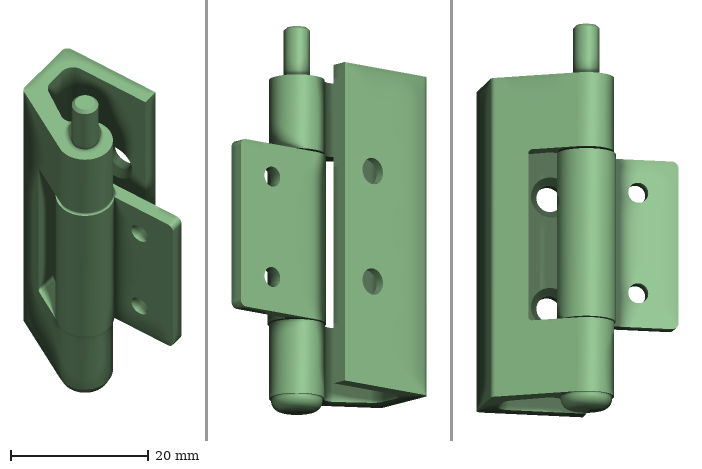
import cadquery as cq
import math


total_height = 57.2
pin_diameter = 3.9
pin_tip_chamfer = 0.45
head_diameter = 7.5
head_height = 1.9
head_round = 1.55

frame_height = 47.55
frame_left = -13.5
frame_back = 13.95
plate_thickness = 2.5
back_leg_end = 2.6
knuckle_radius = 4.05
outer_slope = math.radians(30)
inner_slope = math.radians(33.7)
inner_corner_y = 5.5
outer_bend_radius = 1.0
inner_bend_radius = 2.0
knuckle_fillet = 1.7

slot_left = -8.6
slot_height = 25.5
slot_corner_radius = 0.5

leaf_hole_diameter = 3.0
frame_hole_diameter = 3.9
countersink_diameter = 5.95
countersink_angle = 90
frame_hole_x = -2.75
frame_hole_spacing = 16.5

leaf_height = 25.0
barrel_radius = 4.3
leaf_right = 14.25
leaf_thickness = 2.1
leaf_corner_radius = 1.0
leaf_hole_x = 8.25
leaf_hole_spacing = 15.0
leaf_drop = 0.1

frame_mid_z = head_height + frame_height / 2
leaf_mid_z = frame_mid_z - leaf_drop
leaf_bottom = leaf_mid_z - leaf_height / 2
web_inner_x = frame_left + plate_thickness
back_leg_inner_y = frame_back - plate_thickness


def hole_axes(x, y, spacing):
    """Workplane with a pair of points on the face at y, pointing toward -Y."""
    return (
        cq.Workplane("XZ", origin=(x, y, frame_mid_z))
        .pushPoints([(0, -spacing / 2), (0, spacing / 2)])
    )


def round_corner(body, x, y, radius):
    """Fillet the full-height edge of the frame at (x, y)."""
    edge = cq.selectors.NearestToPointSelector((x, y, frame_mid_z))
    return body.edges("|Z").edges(edge).fillet(radius)


def make_channel():
    """Channel with its knuckle, before the slot and holes are cut."""
    tangent_x = -knuckle_radius * math.sin(outer_slope)
    tangent_y = -knuckle_radius * math.cos(outer_slope)
    outer_corner_y = tangent_y + (tangent_x - frame_left) * math.tan(outer_slope)
    inner_end_x = web_inner_x + inner_corner_y / math.tan(inner_slope)

    channel = (
        cq.Workplane("XY", origin=(0, 0, head_height))
        .moveTo(frame_left, frame_back)
        .lineTo(back_leg_end, frame_back)
        .lineTo(back_leg_end, back_leg_inner_y)
        .lineTo(web_inner_x, back_leg_inner_y)
        .lineTo(web_inner_x, inner_corner_y)
        .lineTo(inner_end_x, 0)
        .lineTo(0, 0)
        .lineTo(tangent_x, tangent_y)
        .lineTo(frame_left, outer_corner_y)
        .close()
        .extrude(frame_height)
    )
    knuckle = (
        cq.Workplane("XY", origin=(0, 0, head_height))
        .circle(knuckle_radius)
        .extrude(frame_height)
    )
    channel = channel.union(knuckle)

    axis_offset = inner_end_x * math.sin(inner_slope)
    along = math.sqrt(knuckle_radius**2 - axis_offset**2)
    meet_x = axis_offset * math.sin(inner_slope) - along * math.cos(inner_slope)
    meet_y = axis_offset * math.cos(inner_slope) + along * math.sin(inner_slope)

    channel = round_corner(channel, meet_x, meet_y, knuckle_fillet)
    channel = round_corner(channel, frame_left, frame_back, outer_bend_radius)
    channel = round_corner(channel, frame_left, outer_corner_y, outer_bend_radius)
    channel = round_corner(channel, web_inner_x, back_leg_inner_y, inner_bend_radius)
    return round_corner(channel, web_inner_x, inner_corner_y, inner_bend_radius)


def make_slot():
    """Cutter through the sloped plate and the knuckle, short of the back leg."""
    slot_width = knuckle_radius - slot_left + plate_thickness
    slot_depth = back_leg_inner_y + knuckle_radius
    return (
        cq.Workplane("XY")
        .box(slot_width, slot_depth, slot_height, centered=(False, False, True))
        .edges("<X and |Y")
        .fillet(slot_corner_radius)
        .translate((slot_left, -knuckle_radius, frame_mid_z))
    )


def make_countersinks():
    """Cutters for the countersunk holes, opening on the inside of the back leg."""
    hole_radius = frame_hole_diameter / 2
    rim_radius = countersink_diameter / 2
    cone_depth = (rim_radius - hole_radius) / math.tan(math.radians(countersink_angle / 2))
    holes = hole_axes(frame_hole_x, frame_back, frame_hole_spacing)
    shafts = holes.circle(hole_radius).extrude(plate_thickness)
    cone = cq.Solid.makeCone(
        rim_radius, hole_radius, cone_depth, cq.Vector(0, 0, 0), cq.Vector(0, 1, 0)
    )
    for side in (-1, 1):
        hole_z = frame_mid_z + side * frame_hole_spacing / 2
        shafts = shafts.union(
            cq.Workplane(cone.translate(cq.Vector(frame_hole_x, back_leg_inner_y, hole_z)))
        )
    return shafts


def make_pin():
    """Pin with a rounded head below and a chamfered tip above."""
    shank = (
        cq.Workplane("XY")
        .circle(pin_diameter / 2)
        .extrude(total_height)
        .faces(">Z")
        .chamfer(pin_tip_chamfer)
    )
    head = (
        cq.Workplane("XY")
        .circle(head_diameter / 2)
        .extrude(head_height)
        .faces("<Z")
        .edges()
        .fillet(head_round)
    )
    return shank.union(head)


def make_frame():
    """Channel with the pin fixed in its knuckle."""
    channel = make_channel().cut(make_slot()).cut(make_countersinks())
    return channel.union(make_pin())


def make_leaf():
    """Barrel turning on the pin, with a drilled plate toward +X."""
    barrel = (
        cq.Workplane("XY", origin=(0, 0, leaf_bottom))
        .circle(barrel_radius)
        .extrude(leaf_height)
    )
    plate = (
        cq.Workplane("XY")
        .box(leaf_right, leaf_thickness, leaf_height, centered=False)
        .edges(">X and |Y")
        .fillet(leaf_corner_radius)
        .translate((0, barrel_radius - leaf_thickness, leaf_bottom))
    )
    holes = (
        hole_axes(leaf_hole_x, barrel_radius, leaf_hole_spacing)
        .circle(leaf_hole_diameter / 2)
        .extrude(leaf_thickness)
    )
    bore = (
        cq.Workplane("XY", origin=(0, 0, leaf_bottom))
        .circle(pin_diameter / 2)
        .extrude(leaf_height)
    )
    return barrel.union(plate).cut(holes).cut(bore)


frame = make_frame()
leaf = make_leaf()
result = cq.Compound.makeCompound([frame.val(), leaf.val()])